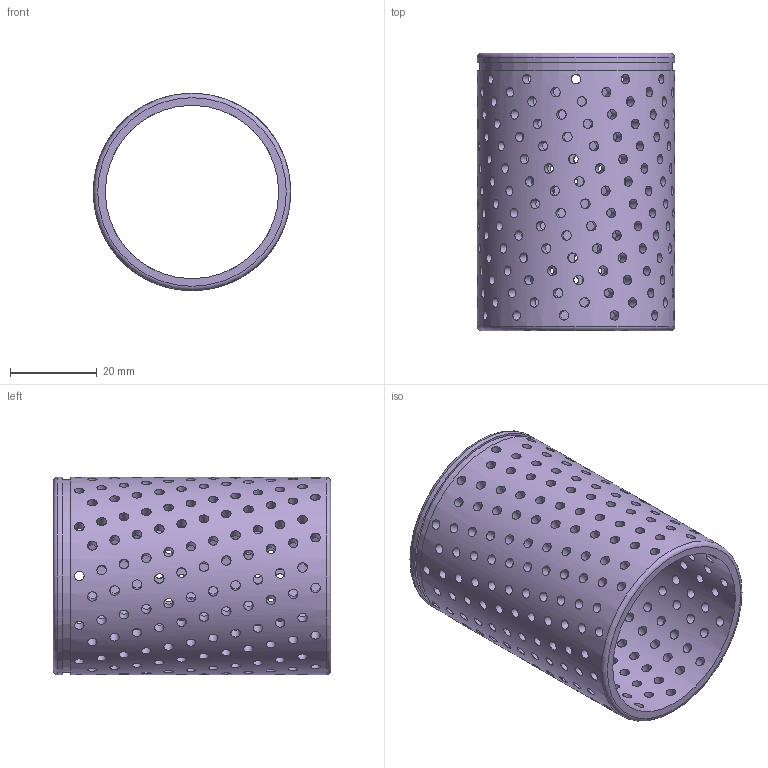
import cadquery as cq

outer_diameter = 45.5
bore_diameter = 40.0
length = 64.0
edge_radius = 1.0

groove_offset = 2.15
groove_width = 1.85
groove_depth = 0.5

hole_diameter = 2.2
holes_per_ring = 12
rings_per_set = 11
ring_pitch = 5.15
ring_twist = 3.5
first_ring_offset = 6.0
second_set_shift = 3.0
second_set_twist = 18.0

outer_radius = outer_diameter / 2
bore_radius = bore_diameter / 2
wall_thickness = outer_radius - bore_radius
end_y = length / 2
hole_angle_step = 360 / holes_per_ring

hole_overshoot = 0.5


def make_cylinder(radius, start_y, cylinder_length):
    """Solid cylinder on the Y axis, reaching from start_y toward -Y."""
    return cq.Workplane("XZ", origin=(0, start_y, 0)).circle(radius).extrude(cylinder_length)


def make_sleeve():
    """Plain tube with rounded outer edges at both ends."""
    body = make_cylinder(outer_radius, end_y, length)
    body = body.faces("<Y or >Y").edges().fillet(edge_radius)
    return body.cut(make_cylinder(bore_radius, end_y, length))


def make_groove():
    """Ring-shaped cutter for the shallow groove around the outside near the +Y end."""
    start_y = end_y - groove_offset
    outside = make_cylinder(outer_radius + groove_depth, start_y, groove_width)
    return outside.cut(make_cylinder(outer_radius - groove_depth, start_y, groove_width))


def make_ball_hole(y, angle):
    """Radial cutter through one wall; angle in degrees runs from +Z toward +X."""
    start = cq.Vector(0, y, bore_radius - hole_overshoot)
    depth = wall_thickness + 2 * hole_overshoot
    cutter = cq.Solid.makeCylinder(hole_diameter / 2, depth, start, cq.Vector(0, 0, 1))
    return cutter.rotate(cq.Vector(0, 0, 0), cq.Vector(0, 1, 0), angle)


def make_hole_set(first_y, first_angle):
    """Cutters for one set of rings, stepping toward -Y with a steady twist."""
    cutters = []
    for ring in range(rings_per_set):
        y = first_y - ring * ring_pitch
        for index in range(holes_per_ring):
            angle = first_angle + ring * ring_twist + index * hole_angle_step
            cutters.append(make_ball_hole(y, angle))
    return cutters


first_ring_y = end_y - first_ring_offset
ball_holes = make_hole_set(first_ring_y, 0)
ball_holes += make_hole_set(first_ring_y - second_set_shift, second_set_twist)

sleeve = make_sleeve().cut(make_groove())
result = sleeve.cut(cq.Workplane(cq.Compound.makeCompound(ball_holes)))